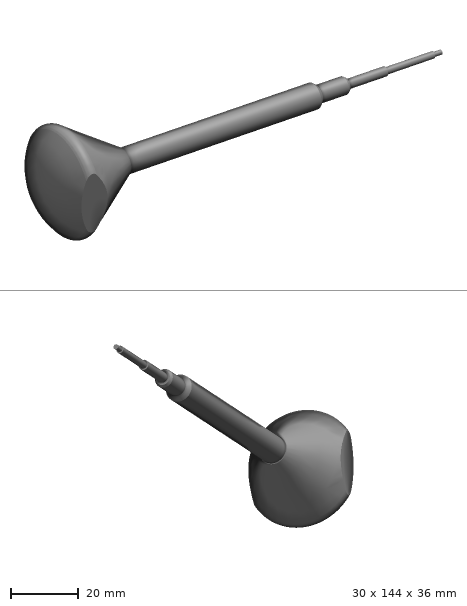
import cadquery as cq
import math

LENGTH = 144.0

HEAD_WIDTH = 30.0
HEAD_RADIUS = 18.0
RIM_ROUND = 3.0
DOME_RADIUS = 24.8
NECK_Y = 30.1
NECK_RADIUS = 4.5

HANDLE_RADIUS = 4.2
HANDLE_END_Y = 100.0
HANDLE_BEVEL_LENGTH = 1.6
COLLAR_RADIUS = 2.9
COLLAR_END_Y = 110.0
COLLAR_BEVEL_LENGTH = 0.9
COLLAR_BEVEL_DEPTH = 0.6

SHANK_RADIUS = 1.6
SHANK_END_Y = 124.0
BLADE_RADIUS = 1.2
TIP_LENGTH = 2.9
TIP_RADIUS = 0.79


def polar(center, radius, angle):
    """Point at an angle measured from the radial direction towards the tip."""
    return (center[0] + radius * math.cos(angle), center[1] + radius * math.sin(angle))


def make_head():
    """Revolved dome, rounded rim and tapering neck, cut by two flats."""
    rim_r = HEAD_RADIUS - RIM_ROUND
    rim_y = DOME_RADIUS - math.sqrt((DOME_RADIUS - RIM_ROUND) ** 2 - rim_r ** 2)
    rim_center = (rim_r, rim_y)
    dome_angle = math.atan2(rim_y - DOME_RADIUS, rim_r)
    dome_edge = polar(rim_center, RIM_ROUND, dome_angle)
    dome_middle = polar((0, DOME_RADIUS), DOME_RADIUS, (dome_angle - math.pi / 2) / 2)

    to_neck_r = NECK_RADIUS - rim_r
    to_neck_y = NECK_Y - rim_y
    neck_distance = math.hypot(to_neck_r, to_neck_y)
    neck_angle = math.atan2(to_neck_y, to_neck_r) - math.acos(RIM_ROUND / neck_distance)
    neck_edge = polar(rim_center, RIM_ROUND, neck_angle)

    profile = (
        cq.Workplane("XY")
        .moveTo(0, 0)
        .threePointArc(dome_middle, dome_edge)
        .threePointArc((HEAD_RADIUS, rim_y), neck_edge)
        .lineTo(NECK_RADIUS, NECK_Y)
        .lineTo(0, NECK_Y)
        .close()
    )
    head = profile.revolve(360, (0, 0, 0), (0, 1, 0))
    between_flats = cq.Workplane("XY").box(HEAD_WIDTH, 2 * NECK_Y, 3 * HEAD_RADIUS)
    return head.intersect(between_flats)


def make_shaft():
    """Revolved handle, collar, shank, blade and tip."""
    blade_end_y = LENGTH - TIP_LENGTH
    outline = [
        (0, NECK_Y),
        (HANDLE_RADIUS, NECK_Y),
        (HANDLE_RADIUS, HANDLE_END_Y - HANDLE_BEVEL_LENGTH),
        (COLLAR_RADIUS, HANDLE_END_Y),
        (COLLAR_RADIUS, COLLAR_END_Y - COLLAR_BEVEL_LENGTH),
        (COLLAR_RADIUS - COLLAR_BEVEL_DEPTH, COLLAR_END_Y),
        (SHANK_RADIUS, COLLAR_END_Y),
        (SHANK_RADIUS, SHANK_END_Y),
        (BLADE_RADIUS, SHANK_END_Y),
        (BLADE_RADIUS, blade_end_y),
        (TIP_RADIUS, blade_end_y),
        (TIP_RADIUS, LENGTH),
        (0, LENGTH),
    ]
    return cq.Workplane("XY").polyline(outline).close().revolve(360, (0, 0, 0), (0, 1, 0))


result = make_head().union(make_shaft())